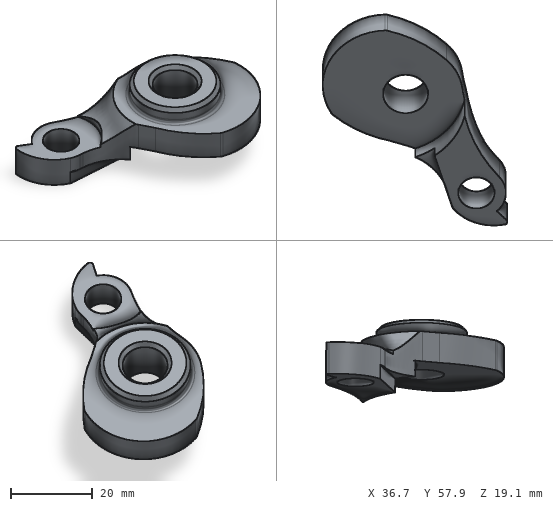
import cadquery as cq
import math

EYE_TOP = 8.0
HEAD_BOTTOM = 7.5
HEAD_TOP = 15.0
BOSS_TOP = 19.05
CLEARANCE_TOP = 3.5

PIVOT = (0.0, 0.0)
BORE_RADIUS = 11.0 / 2
BOSS_RADIUS = 22.23 / 2
BOSS_CHAMFER = 1.0
BORE_CHAMFER = 1.0
BOSS_ROOT_FILLET = 1.0
RIM_RADIUS = 14.0

HEAD_ANGLE = 45.0
HEAD_OFFSET = 5.06
HEAD_RADIUS = 15.875
HEAD_CORNER_RADIUS = 2.0
HEAD_FLANK_RADIUS = 32.0
HEAD_FLANK_SPREAD = 73.5
SHOULDER_X = 7.3

EYE = (-9.98, -27.73)
EYE_RADIUS = 7.25
EYE_HOLE_RADIUS = 8.9 / 2
EYE_SPOTFACE_RADIUS = 10.0
TAIL_RADIUS = 12.5
TAIL_TANGENT_ANGLE = -20.0
NOTCH_ANGLE = -117.7
TAIL_EDGE_ANGLE = -116.0
TAIL_TIP_RADIUS = 0.8

ARM_LEFT_RADIUS = 40.3
ARM_RIGHT_RADIUS = 15.0
ARM_RIGHT_STRAIGHT = 0.95

SCOOP_INNER_RADIUS = 15.2
SCOOP_RADIUS = 12.7
RELIEF_RADIUS = 19.35
CUT_REACH = 80.0


def polar(center, radius, angle):
    """Point at a radius and an angle in degrees from a centre."""
    a = math.radians(angle)
    return (center[0] + radius * math.cos(a), center[1] + radius * math.sin(a))


def toward(start, target, distance):
    """Point at a distance from start, on the ray through target."""
    ratio = distance / math.dist(start, target)
    return (start[0] + ratio * (target[0] - start[0]), start[1] + ratio * (target[1] - start[1]))


def circles_meet(c1, r1, c2, r2):
    """The meeting point of two circles that lies to the left of the ray c1-c2."""
    gap = math.dist(c1, c2)
    along = (r1**2 - r2**2 + gap**2) / (2 * gap)
    bearing = math.atan2(c2[1] - c1[1], c2[0] - c1[0])
    return polar(c1, r1, math.degrees(bearing + math.acos(along / r1)))


def mid_arc(center, start, end):
    """Middle point of the shorter arc about a centre."""
    chord_middle = ((start[0] + end[0]) / 2, (start[1] + end[1]) / 2)
    return toward(center, chord_middle, math.dist(center, start))


def round_corner(body, corner, radius):
    """Round the vertical edge standing at a corner of the outline."""
    middle = (corner[0], corner[1], HEAD_TOP / 2)
    return body.edges("|Z").edges(cq.selectors.NearestToPointSelector(middle)).fillet(radius)


def outline_body(head):
    """Full-height prism with the plan outline of the hanger, given the centre of its head lobe."""
    flank_distance = HEAD_FLANK_RADIUS - RIM_RADIUS
    upper_flank = polar(PIVOT, flank_distance, HEAD_ANGLE - HEAD_FLANK_SPREAD)
    lower_flank = polar(PIVOT, flank_distance, HEAD_ANGLE + HEAD_FLANK_SPREAD)
    upper_corner = circles_meet(head, HEAD_RADIUS, upper_flank, HEAD_FLANK_RADIUS)
    lower_corner = circles_meet(lower_flank, HEAD_FLANK_RADIUS, head, HEAD_RADIUS)
    head_far = polar(head, HEAD_RADIUS, HEAD_ANGLE)
    rim_start = toward(PIVOT, upper_flank, -RIM_RADIUS)

    left = circles_meet(EYE, EYE_RADIUS + ARM_LEFT_RADIUS, PIVOT, RIM_RADIUS + ARM_LEFT_RADIUS)
    rim_end = toward(PIVOT, left, RIM_RADIUS)
    eye_left = toward(EYE, left, EYE_RADIUS)

    notch = polar(EYE, EYE_RADIUS, NOTCH_ANGLE)
    tail = polar(EYE, EYE_RADIUS - TAIL_RADIUS, TAIL_TANGENT_ANGLE)
    tail_start = polar(EYE, EYE_RADIUS, TAIL_TANGENT_ANGLE)
    edge = polar((0, 0), 1, TAIL_EDGE_ANGLE)
    from_tail = (notch[0] - tail[0], notch[1] - tail[1])
    along = edge[0] * from_tail[0] + edge[1] * from_tail[1]
    edge_length = math.sqrt(along**2 + TAIL_RADIUS**2 - math.dist(notch, tail) ** 2) - along
    tail_tip = polar(notch, edge_length, TAIL_EDGE_ANGLE)

    eye_right = (EYE[0] + EYE_RADIUS, EYE[1])
    straight_end = (eye_right[0], eye_right[1] + ARM_RIGHT_STRAIGHT)
    right = (straight_end[0] + ARM_RIGHT_RADIUS, straight_end[1])
    shoulder_drop = math.sqrt(HEAD_FLANK_RADIUS**2 - (SHOULDER_X - lower_flank[0]) ** 2)
    shoulder = (SHOULDER_X, lower_flank[1] - shoulder_drop)
    flat_length = math.sqrt(math.dist(right, shoulder) ** 2 - ARM_RIGHT_RADIUS**2)
    flat_end = circles_meet(right, ARM_RIGHT_RADIUS, shoulder, flat_length)

    body = (
        cq.Workplane("XY")
        .moveTo(*lower_corner)
        .threePointArc(head_far, upper_corner)
        .threePointArc(mid_arc(upper_flank, upper_corner, rim_start), rim_start)
        .threePointArc(mid_arc(PIVOT, rim_start, rim_end), rim_end)
        .threePointArc(mid_arc(left, rim_end, eye_left), eye_left)
        .threePointArc(mid_arc(EYE, eye_left, notch), notch)
        .lineTo(*tail_tip)
        .threePointArc(mid_arc(tail, tail_tip, tail_start), tail_start)
        .threePointArc(mid_arc(EYE, tail_start, eye_right), eye_right)
        .lineTo(*straight_end)
        .threePointArc(mid_arc(right, straight_end, flat_end), flat_end)
        .lineTo(*shoulder)
        .threePointArc(mid_arc(lower_flank, shoulder, lower_corner), lower_corner)
        .close()
        .extrude(HEAD_TOP)
    )
    body = round_corner(body, upper_corner, HEAD_CORNER_RADIUS)
    body = round_corner(body, lower_corner, HEAD_CORNER_RADIUS)
    return round_corner(body, tail_tip, TAIL_TIP_RADIUS)


def scoop():
    """Ring about the pivot whose inner wall sweeps down in an arc to the eye's top face."""
    arc_center = (
        SCOOP_INNER_RADIUS + math.sqrt(SCOOP_RADIUS**2 - (EYE_TOP + SCOOP_RADIUS - HEAD_TOP) ** 2),
        EYE_TOP + SCOOP_RADIUS,
    )
    top = (SCOOP_INNER_RADIUS, HEAD_TOP)
    foot = (arc_center[0], EYE_TOP)
    ring = (
        cq.Workplane("XZ")
        .moveTo(*top)
        .threePointArc(mid_arc(arc_center, top, foot), foot)
        .lineTo(CUT_REACH, EYE_TOP)
        .lineTo(CUT_REACH, HEAD_TOP)
        .close()
        .revolve(360, (0, 0), (0, 1))
    )
    arm_side = (
        cq.Workplane("XY")
        .rect(2 * CUT_REACH, CUT_REACH)
        .extrude(HEAD_TOP)
        .translate((0, -CUT_REACH / 2, 0))
        .rotate((0, 0, 0), (0, 0, 1), HEAD_ANGLE - 90)
    )
    return ring.intersect(arm_side)


def cylinder(center, radius, bottom, top):
    """Upright cylinder between two heights."""
    return cq.Workplane("XY", origin=(*center, bottom)).circle(radius).extrude(top - bottom)


def boss():
    """Round boss with a chamfered top and a filleted root flaring onto the head."""
    flare_radius = BOSS_RADIUS + BOSS_ROOT_FILLET
    root_top = HEAD_TOP + BOSS_ROOT_FILLET
    flare_start = (flare_radius, HEAD_TOP)
    flare_end = (BOSS_RADIUS, root_top)
    return (
        cq.Workplane("XZ")
        .moveTo(0, HEAD_BOTTOM)
        .lineTo(flare_radius, HEAD_BOTTOM)
        .lineTo(*flare_start)
        .threePointArc(mid_arc((flare_radius, root_top), flare_start, flare_end), flare_end)
        .lineTo(BOSS_RADIUS, BOSS_TOP - BOSS_CHAMFER)
        .lineTo(BOSS_RADIUS - BOSS_CHAMFER, BOSS_TOP)
        .lineTo(0, BOSS_TOP)
        .close()
        .revolve(360, (0, 0), (0, 1))
    )


def bore():
    """Pivot bore with a countersunk mouth."""
    mouth = BORE_RADIUS + BORE_CHAMFER
    return (
        cq.Workplane("XZ")
        .moveTo(0, 0)
        .lineTo(BORE_RADIUS, 0)
        .lineTo(BORE_RADIUS, BOSS_TOP - BORE_CHAMFER)
        .lineTo(mouth, BOSS_TOP)
        .lineTo(0, BOSS_TOP)
        .close()
        .revolve(360, (0, 0), (0, 1))
    )


def arm_clearance():
    """Shallow step under the right side of the arm, beyond the start of the tail arc."""
    wall_x = polar(EYE, EYE_RADIUS, TAIL_TANGENT_ANGLE)[0]
    block = cq.Workplane("XY").box(CUT_REACH, 2 * CUT_REACH, CLEARANCE_TOP, centered=(False, True, False))
    return block.translate((wall_x, 0, 0))


head_center = polar(PIVOT, HEAD_OFFSET, HEAD_ANGLE)

result = outline_body(head_center)
result = result.cut(scoop())
result = result.cut(cylinder(EYE, EYE_SPOTFACE_RADIUS, EYE_TOP, HEAD_TOP))
result = result.cut(cylinder(head_center, RELIEF_RADIUS, 0, HEAD_BOTTOM))
result = result.cut(arm_clearance())
result = result.union(boss())
result = result.cut(bore())
result = result.cut(cylinder(EYE, EYE_HOLE_RADIUS, 0, EYE_TOP))